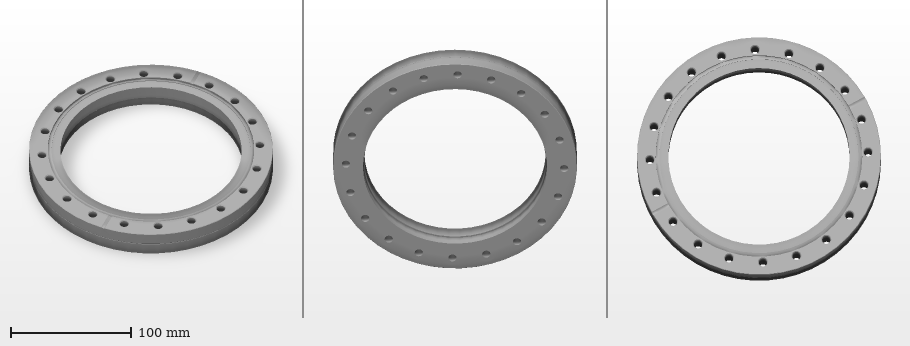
import cadquery as cq
import math

outer_diameter = 202.5
thickness = 22.3
edge_chamfer = 0.5

bore_diameter = 150.5
socket_diameter = 152.8
socket_depth = 9.1

recess_diameter = 171.5
knife_diameter = 165.2
knife_tip_depth = 0.6
knife_angle = 20.0
plateau_depth = 1.2

rim_groove_height = 11.1
rim_groove_width = 0.8
rim_groove_depth = 0.2

bolt_count = 20
bolt_circle_diameter = 181.2
bolt_diameter = 6.9
bolt_countersink_diameter = 8.3

channel_width = 3.2
channel_depth = 0.6


def flange_body():
    """Revolve the radial section of the ring about Z."""
    outer_radius = outer_diameter / 2
    bore_radius = bore_diameter / 2
    socket_radius = socket_diameter / 2
    recess_radius = recess_diameter / 2
    knife_radius = knife_diameter / 2
    knife_rise = (recess_radius - knife_radius) * math.tan(math.radians(knife_angle))
    knife_tip = thickness - knife_tip_depth
    plateau = thickness - plateau_depth
    groove_bottom = rim_groove_height - rim_groove_width / 2
    groove_top = rim_groove_height + rim_groove_width / 2
    section = (
        cq.Workplane("XZ")
        .moveTo(socket_radius, 0)
        .lineTo(outer_radius - edge_chamfer, 0)
        .lineTo(outer_radius, edge_chamfer)
        .lineTo(outer_radius, groove_bottom)
        .lineTo(outer_radius - rim_groove_depth, rim_groove_height)
        .lineTo(outer_radius, groove_top)
        .lineTo(outer_radius, thickness - edge_chamfer)
        .lineTo(outer_radius - edge_chamfer, thickness)
        .lineTo(recess_radius, thickness)
        .lineTo(recess_radius, knife_tip - knife_rise)
        .lineTo(knife_radius, knife_tip)
        .lineTo(knife_radius, plateau)
        .lineTo(bore_radius, plateau)
        .lineTo(bore_radius, socket_depth)
        .lineTo(socket_radius, socket_depth)
        .close()
    )
    return section.revolve(360, (0, 0, 0), (0, 1, 0))


def drill_bolt_holes(body):
    """Drill countersunk through holes, straddling the X and Y axes."""
    half_pitch = 360 / bolt_count / 2
    return (
        body.faces(">Z")
        .workplane(origin=(0, 0, thickness))
        .polarArray(bolt_circle_diameter / 2, half_pitch, 360, bolt_count)
        .cskHole(bolt_diameter, bolt_countersink_diameter, 90)
    )


def leak_channels():
    """Make a cylinder along Y whose underside forms both channels."""
    radius = (channel_width**2 / 4 + channel_depth**2) / (2 * channel_depth)
    axis_height = thickness - channel_depth + radius
    cylinder = cq.Workplane("XZ").center(0, axis_height).circle(radius)
    recess_core = (
        cq.Workplane("XY").circle(recess_diameter / 2).extrude(axis_height + radius)
    )
    return cylinder.extrude(outer_diameter / 2, both=True).cut(recess_core)


result = drill_bolt_holes(flange_body()).cut(leak_channels())